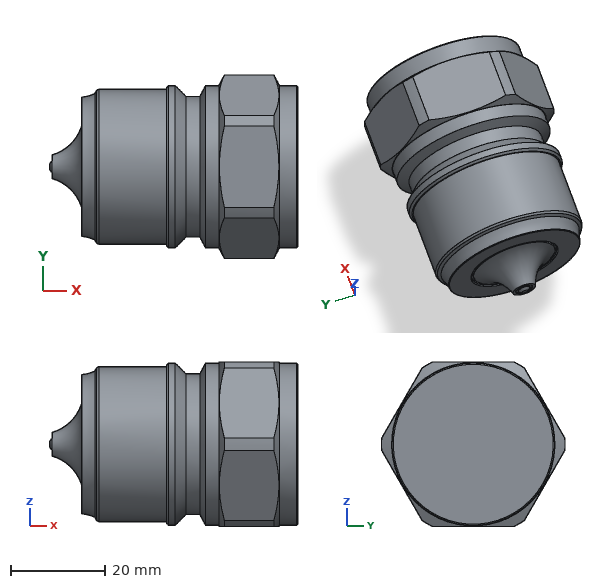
import cadquery as cq

length = 52.7
collar_radius = 17.25

pin_tip_radius = 0.65
pin_radius = 1.3
pin_projection = 0.55
pin_groove_radius = 1.9
pin_groove_depth = 0.25

nose_tip_radius = 2.55
nose_mid_station = 4.6
nose_mid_radius = 4.95
nose_base_station = 6.9
nose_base_radius = 9.15
seat_groove_station = 7.4

face_station = 6.75
face_chamfer = 0.15
mouth_radius = 9.6
mouth_chamfer = 0.2
lead_in_start_radius = 14.8
lead_in_mid_station = 8.35
lead_in_mid_radius = 15.05
lead_in_end_station = 9.6
lead_in_end_radius = 15.55

barrel_radius = 16.5
barrel_step_station = 9.95
barrel_edge_length = 0.5
barrel_edge_drop = 0.25
barrel_end = 24.75
collar_chamfer = 0.5
collar_flat_end = 26.65
groove_radius = 14.95
groove_start = 28.95
groove_end = 31.9
rear_collar_start = 33.1
end_chamfer = 0.25

hex_start = 35.95
hex_end = 48.75
hex_across_flats = 35.0
flat_turn = 30
hex_corner_radius = 19.5
hex_face_radius = 17.35
hex_chamfer_length = 1.15


def make_body():
    """Revolve the plug, including the nose and the small groove round its pin."""
    groove_floor = pin_projection + pin_groove_depth
    profile = (
        cq.Workplane("XZ")
        .lineTo(0, pin_tip_radius)
        .lineTo(pin_projection, pin_radius)
        .lineTo(groove_floor, pin_radius)
        .lineTo(groove_floor, pin_groove_radius)
        .lineTo(pin_projection, pin_groove_radius)
        .lineTo(pin_projection, nose_tip_radius)
        .threePointArc((nose_mid_station, nose_mid_radius), (nose_base_station, nose_base_radius))
        .lineTo(seat_groove_station, nose_base_radius)
        .lineTo(seat_groove_station, mouth_radius)
        .lineTo(face_station + mouth_chamfer, mouth_radius)
        .lineTo(face_station, mouth_radius + mouth_chamfer)
        .lineTo(face_station, lead_in_start_radius - face_chamfer)
        .lineTo(face_station + face_chamfer, lead_in_start_radius)
        .threePointArc(
            (lead_in_mid_station, lead_in_mid_radius), (lead_in_end_station, lead_in_end_radius)
        )
        .lineTo(barrel_step_station, barrel_radius - barrel_edge_drop)
        .lineTo(barrel_step_station + barrel_edge_length, barrel_radius)
        .lineTo(barrel_end, barrel_radius)
        .lineTo(barrel_end, collar_radius - collar_chamfer)
        .lineTo(barrel_end + collar_chamfer, collar_radius)
        .lineTo(collar_flat_end, collar_radius)
        .lineTo(groove_start, groove_radius)
        .lineTo(groove_end, groove_radius)
        .lineTo(rear_collar_start, collar_radius)
        .lineTo(length - end_chamfer, collar_radius)
        .lineTo(length, collar_radius - end_chamfer)
        .lineTo(length, 0)
        .close()
    )
    return profile.revolve(360, (0, 0, 0), (1, 0, 0))


def make_hexagon():
    """Intersect a hexagonal prism with a turned blank that rounds and chamfers its corners."""
    prism = (
        cq.Workplane("YZ", origin=(hex_start, 0, 0))
        .polygon(6, hex_across_flats, circumscribed=True)
        .extrude(hex_end - hex_start)
        .rotate((0, 0, 0), (1, 0, 0), flat_turn)
    )
    blank = (
        cq.Workplane("XZ")
        .moveTo(hex_start, 0)
        .lineTo(hex_start, hex_face_radius)
        .lineTo(hex_start + hex_chamfer_length, hex_corner_radius)
        .lineTo(hex_end - hex_chamfer_length, hex_corner_radius)
        .lineTo(hex_end, hex_face_radius)
        .lineTo(hex_end, 0)
        .close()
        .revolve(360, (0, 0, 0), (1, 0, 0))
    )
    return prism.intersect(blank)


result = make_body().union(make_hexagon())